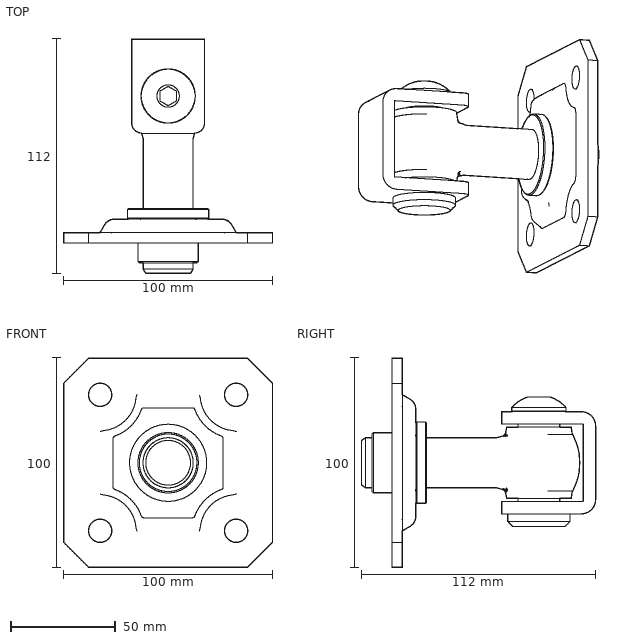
import cadquery as cq
import math


PLATE_SIZE = 100.0
PLATE_THICKNESS = 5.0
PLATE_CORNER_CHAMFER = 12.0
MOUNT_HOLE_SPACING = 65.0
MOUNT_HOLE_DIAMETER = 11.0

DISH_DEPTH = 6.5
DISH_DRAFT_ANGLE = math.radians(30)
DISH_DRAFT = math.tan(DISH_DRAFT_ANGLE)
DISH_OUTER_HALF = 32.6
DISH_OUTER_ROUND = 5.8
DISH_OUTER_CORNER_ROUND = 4.0
DISH_FLOOR_HALF = 26.3
DISH_MOUTH_ROUND = 6.3
DISH_INNER_CORNER_ROUND = 1.5
SCALLOP_INNER_RADIUS = 17.2
SCALLOP_OUTER_RADIUS = (
    SCALLOP_INNER_RADIUS + PLATE_THICKNESS * DISH_DRAFT - PLATE_THICKNESS / math.cos(DISH_DRAFT_ANGLE)
)
DISH_BACK_Y = PLATE_THICKNESS + DISH_DEPTH
COLLAR_HEIGHT = 4.0

BUSHING_DIAMETER = 28.9
BUSHING_FLANGE_DIAMETER = 39.0
BUSHING_FLANGE_THICKNESS = 5.0
BUSHING_FRONT_Y = -9.5
BUSHING_CHAMFER = 0.7
FLANGE_CHAMFER = 0.5
BUSHING_BACK_Y = DISH_BACK_Y + BUSHING_FLANGE_THICKNESS

SHAFT_DIAMETER = 24.0
SHAFT_FRONT_Y = -14.5
SHAFT_TIP_LENGTH = 2.0
SHAFT_TIP_INSET = 1.3
NECK_START_Y = 49.9
NECK_HALF_ANGLE = math.radians(15.4)
HINGE_Y = 70.3
EYE_HALF_HEIGHT = 17.0
EYE_END_RADIUS = 15.5
EYE_MID_RADIUS = 17.0
EYE_PAD_HALF_HEIGHT = 13.5
EYE_PAD_RADIUS = 15.98
EYE_PAD_END_OFFSET = 0.3
EYE_PAD_MID_OFFSET = 3.7
NECK_BLEND_RADIUS = 2.0

YOKE_WIDTH = 35.0
YOKE_LENGTH = 45.0
YOKE_HALF_HEIGHT = 24.5
YOKE_THICKNESS = 6.0
YOKE_BACK_Y = 97.5
YOKE_BEND_RADIUS = 7.0
YOKE_CORNER_RADIUS = 5.0
YOKE_INNER_HALF = YOKE_HALF_HEIGHT - YOKE_THICKNESS

SLEEVE_DIAMETER = 20.0
SCREW_DIAMETER = 12.0
SCREW_HEAD_DIAMETER = 26.0
SCREW_HEAD_RIM = 2.0
SCREW_HEAD_EDGE_CHAMFER = 0.3
SCREW_HEAD_HEIGHT = 7.0
SCREW_HEAD_TOP_DIAMETER = 10.7
SOCKET_ACROSS_FLATS = 8.0
SOCKET_DEPTH = 4.0
NUT_DIAMETER = 30.0
NUT_HEIGHT = 6.0
NUT_CHAMFER = 2.5
SCREW_END_Z = -(YOKE_HALF_HEIGHT + NUT_HEIGHT / 2)


def cylinder_y(diameter, start_y, end_y):
    """Cylinder along Y on the shaft axis."""
    radius = diameter / 2
    return cq.Workplane(cq.Solid.makeCylinder(
        radius, end_y - start_y, cq.Vector(0, start_y, 0), cq.Vector(0, 1, 0)))


def cylinder_z(diameter, start_z, end_z):
    """Cylinder along Z on the hinge axis."""
    radius = diameter / 2
    return cq.Workplane(cq.Solid.makeCylinder(
        radius, end_z - start_z, cq.Vector(0, HINGE_Y, start_z), cq.Vector(0, 0, 1)))


def scallop(body, start_y, start_radius):
    """Cut the dish corners away with drafted cones around the four mounting holes."""
    end_radius = start_radius + DISH_DEPTH * DISH_DRAFT
    half = MOUNT_HOLE_SPACING / 2
    for x in (-half, half):
        for z in (-half, half):
            cone = cq.Solid.makeCone(
                start_radius, end_radius, DISH_DEPTH, cq.Vector(x, start_y, z), cq.Vector(0, 1, 0))
            body = body.cut(cq.Workplane(cone))
    return body


def round_dish_corners(dish, mid_y, radius):
    """Round the eight sloping edges where the scallops meet the straight sides."""
    half_band = DISH_DEPTH / 4
    corners = cq.selectors.BoxSelector(
        (-PLATE_SIZE, mid_y - half_band, -PLATE_SIZE), (PLATE_SIZE, mid_y + half_band, PLATE_SIZE))
    return dish.edges(corners).fillet(radius)


def make_dish_outside():
    """Raised back of the dish: a drafted, scalloped square with rounded edges."""
    back_half = DISH_OUTER_HALF - DISH_DEPTH * DISH_DRAFT
    base = cq.Workplane("XZ", origin=(0, PLATE_THICKNESS, 0)).rect(2 * DISH_OUTER_HALF, 2 * DISH_OUTER_HALF)
    dish = base.workplane(offset=-DISH_DEPTH).rect(2 * back_half, 2 * back_half).loft(ruled=True)
    dish = scallop(dish, PLATE_THICKNESS, SCALLOP_OUTER_RADIUS)
    dish = round_dish_corners(dish, PLATE_THICKNESS + DISH_DEPTH / 2, DISH_OUTER_CORNER_ROUND)
    return dish.faces(">Y").edges().fillet(DISH_OUTER_ROUND)


def make_cavity_prism():
    """Cavity cross-section with flaring mouth lips, run across the plate along Z."""
    lip_height = DISH_MOUTH_ROUND * (1 - math.sin(DISH_DRAFT_ANGLE))
    lip_inner = DISH_FLOOR_HALF + (DISH_DEPTH - lip_height) * DISH_DRAFT
    mouth = lip_inner + DISH_MOUTH_ROUND * math.cos(DISH_DRAFT_ANGLE)
    half_turn = (math.pi / 2 - DISH_DRAFT_ANGLE) / 2
    lip_mid = mouth - DISH_MOUTH_ROUND * math.sin(half_turn)
    lip_mid_y = DISH_MOUTH_ROUND * (1 - math.cos(half_turn))
    return (
        cq.Workplane("XY")
        .moveTo(-mouth, 0)
        .threePointArc((-lip_mid, lip_mid_y), (-lip_inner, lip_height))
        .lineTo(-DISH_FLOOR_HALF, DISH_DEPTH)
        .lineTo(DISH_FLOOR_HALF, DISH_DEPTH)
        .lineTo(lip_inner, lip_height)
        .threePointArc((lip_mid, lip_mid_y), (mouth, 0))
        .close()
        .extrude(PLATE_SIZE / 2, both=True)
    )


def make_dish_cavity():
    """Hollow of the dish, open at the front face of the plate."""
    prism = make_cavity_prism()
    crossing_prism = prism.rotate((0, 0, 0), (0, 1, 0), 90)
    cavity = scallop(prism.intersect(crossing_prism), 0, SCALLOP_INNER_RADIUS)
    return round_dish_corners(cavity, DISH_DEPTH / 2, DISH_INNER_CORNER_ROUND)


def make_plate():
    plate = (
        cq.Workplane("XZ")
        .rect(PLATE_SIZE, PLATE_SIZE)
        .extrude(-PLATE_THICKNESS)
        .edges("|Y")
        .chamfer(PLATE_CORNER_CHAMFER)
    )
    holes = (
        cq.Workplane("XZ")
        .rect(MOUNT_HOLE_SPACING, MOUNT_HOLE_SPACING, forConstruction=True)
        .vertices()
        .circle(MOUNT_HOLE_DIAMETER / 2)
        .extrude(-PLATE_THICKNESS)
    )
    collar = cq.Workplane(cq.Solid.makeCone(
        BUSHING_DIAMETER / 2, BUSHING_DIAMETER / 2 + COLLAR_HEIGHT, COLLAR_HEIGHT,
        cq.Vector(0, DISH_DEPTH - COLLAR_HEIGHT, 0), cq.Vector(0, 1, 0)))
    plate = plate.cut(holes).union(make_dish_outside()).cut(make_dish_cavity()).union(collar)
    return plate.cut(cylinder_y(BUSHING_DIAMETER, 0, DISH_BACK_Y))


def make_bushing():
    sleeve = cylinder_y(BUSHING_DIAMETER, BUSHING_FRONT_Y, BUSHING_BACK_Y).faces("<Y").chamfer(BUSHING_CHAMFER)
    flange = cylinder_y(BUSHING_FLANGE_DIAMETER, DISH_BACK_Y, BUSHING_BACK_Y).edges().chamfer(FLANGE_CHAMFER)
    return sleeve.union(flange).cut(cylinder_y(SHAFT_DIAMETER, BUSHING_FRONT_Y, BUSHING_BACK_Y))


def make_eye_barrel():
    """Barrel around the hinge axis, bulging slightly at mid height."""
    return (
        cq.Workplane("XZ", origin=(0, HINGE_Y, 0))
        .moveTo(0, -EYE_HALF_HEIGHT)
        .lineTo(EYE_END_RADIUS, -EYE_HALF_HEIGHT)
        .threePointArc((EYE_MID_RADIUS, 0), (EYE_END_RADIUS, EYE_HALF_HEIGHT))
        .lineTo(0, EYE_HALF_HEIGHT)
        .close()
        .revolve(360, (0, 0), (0, 1))
    )


def make_eye_pad():
    """Round pad that stands out of the back of the barrel, most of all at mid height."""
    return (
        cq.Workplane("XY", origin=(0, HINGE_Y, -EYE_PAD_HALF_HEIGHT))
        .center(0, EYE_PAD_END_OFFSET)
        .circle(EYE_PAD_RADIUS)
        .workplane(offset=EYE_PAD_HALF_HEIGHT)
        .center(0, EYE_PAD_MID_OFFSET - EYE_PAD_END_OFFSET)
        .circle(EYE_PAD_RADIUS)
        .workplane(offset=EYE_PAD_HALF_HEIGHT)
        .center(0, EYE_PAD_END_OFFSET - EYE_PAD_MID_OFFSET)
        .circle(EYE_PAD_RADIUS)
        .loft()
    )


def make_shaft():
    radius = SHAFT_DIAMETER / 2
    neck_end_y = HINGE_Y - EYE_MID_RADIUS * math.sin(NECK_HALF_ANGLE)
    neck_end_radius = radius + math.tan(NECK_HALF_ANGLE) * (neck_end_y - NECK_START_Y)
    rod = (
        cq.Workplane("XY")
        .moveTo(0, SHAFT_FRONT_Y)
        .lineTo(radius - SHAFT_TIP_INSET, SHAFT_FRONT_Y)
        .lineTo(radius, SHAFT_FRONT_Y + SHAFT_TIP_LENGTH)
        .lineTo(radius, NECK_START_Y)
        .lineTo(neck_end_radius, neck_end_y)
        .lineTo(0, neck_end_y)
        .close()
        .revolve(360, (0, 0), (0, 1))
    )
    shaft = rod.union(make_eye_barrel())
    crease = cq.selectors.BoxSelector(
        (-SHAFT_DIAMETER, NECK_START_Y + 1, -EYE_HALF_HEIGHT + 1),
        (SHAFT_DIAMETER, HINGE_Y - 1, EYE_HALF_HEIGHT - 1))
    shaft = shaft.edges(crease).edges("not %LINE").fillet(NECK_BLEND_RADIUS)
    shaft = shaft.union(make_eye_pad())
    return shaft.cut(cylinder_z(SLEEVE_DIAMETER, -EYE_HALF_HEIGHT, EYE_HALF_HEIGHT))


def make_yoke():
    mid_y = YOKE_BACK_Y - YOKE_LENGTH / 2
    yoke = (
        cq.Workplane("XY")
        .box(YOKE_WIDTH, YOKE_LENGTH, 2 * YOKE_HALF_HEIGHT)
        .translate((0, mid_y, 0))
        .edges("|X and >Y")
        .fillet(YOKE_BEND_RADIUS)
        .edges("|Z and <Y")
        .fillet(YOKE_CORNER_RADIUS)
    )
    opening = (
        cq.Workplane("XY")
        .box(YOKE_WIDTH, YOKE_LENGTH, 2 * YOKE_INNER_HALF)
        .translate((0, mid_y - YOKE_THICKNESS, 0))
    )
    return yoke.cut(opening).cut(cylinder_z(SCREW_DIAMETER, -YOKE_HALF_HEIGHT, YOKE_HALF_HEIGHT))


def make_sleeve():
    sleeve = cylinder_z(SLEEVE_DIAMETER, -YOKE_INNER_HALF, YOKE_INNER_HALF)
    return sleeve.cut(cylinder_z(SCREW_DIAMETER, -YOKE_INNER_HALF, YOKE_INNER_HALF))


def make_screw():
    """Dome-head screw with a hexagon socket."""
    rim_z = YOKE_HALF_HEIGHT + SCREW_HEAD_RIM
    top_z = YOKE_HALF_HEIGHT + SCREW_HEAD_HEIGHT
    rim_radius = SCREW_HEAD_DIAMETER / 2
    top_radius = SCREW_HEAD_TOP_DIAMETER / 2
    dome_center_z = (rim_z + top_z) / 2 - (rim_radius**2 - top_radius**2) / (2 * (top_z - rim_z))
    dome_radius = math.hypot(rim_radius, rim_z - dome_center_z)
    dome_mid_radius = (rim_radius + top_radius) / 2
    dome_mid_z = dome_center_z + math.sqrt(dome_radius**2 - dome_mid_radius**2)
    head = (
        cq.Workplane("XZ", origin=(0, HINGE_Y, 0))
        .moveTo(0, YOKE_HALF_HEIGHT)
        .lineTo(rim_radius - SCREW_HEAD_EDGE_CHAMFER, YOKE_HALF_HEIGHT)
        .lineTo(rim_radius, YOKE_HALF_HEIGHT + SCREW_HEAD_EDGE_CHAMFER)
        .lineTo(rim_radius, rim_z)
        .threePointArc((dome_mid_radius, dome_mid_z), (top_radius, top_z))
        .lineTo(0, top_z)
        .close()
        .revolve(360, (0, 0), (0, 1))
    )
    across_corners = SOCKET_ACROSS_FLATS / math.cos(math.radians(30))
    socket = (
        cq.Workplane("XY", origin=(0, HINGE_Y, top_z - SOCKET_DEPTH))
        .transformed(rotate=(0, 0, 90))
        .polygon(6, across_corners)
        .extrude(SOCKET_DEPTH)
    )
    shank = cylinder_z(SCREW_DIAMETER, SCREW_END_Z, YOKE_HALF_HEIGHT)
    return head.union(shank).cut(socket)


def make_nut():
    """Round cap nut with a chamfered underside and a blind bore for the screw."""
    bottom_z = -(YOKE_HALF_HEIGHT + NUT_HEIGHT)
    nut = cylinder_z(NUT_DIAMETER, bottom_z, -YOKE_HALF_HEIGHT).faces("<Z").chamfer(NUT_CHAMFER)
    return nut.cut(cylinder_z(SCREW_DIAMETER, SCREW_END_Z, -YOKE_HALF_HEIGHT))


plate = make_plate()
bushing = make_bushing()
shaft = make_shaft()
yoke = make_yoke()
sleeve = make_sleeve()
screw = make_screw()
nut = make_nut()

result = cq.Compound.makeCompound([
    plate.val(),
    bushing.val(),
    shaft.val(),
    yoke.val(),
    sleeve.val(),
    screw.val(),
    nut.val(),
])